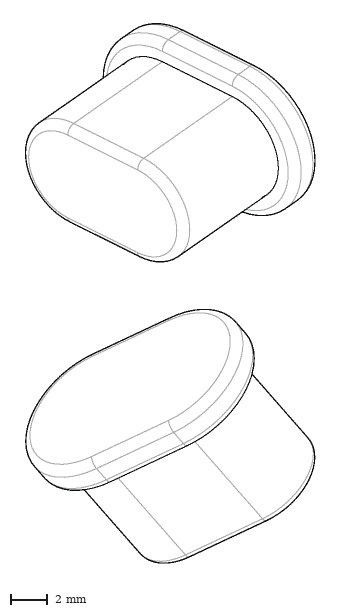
import cadquery as cq

overall_width = 14.0
overall_depth = 10.0
flange_height = 9.0
flange_thickness = 2.0
plug_height = 6.6
edge_radius = 0.5

straight_length = overall_width - flange_height
plug_width = straight_length + plug_height
plug_length = overall_depth - flange_thickness


def stadium_prism(width, height, length, front_y):
    """Stadium-section body running from front_y toward +Y."""
    return (
        cq.Workplane("XZ", origin=(0, front_y, 0))
        .slot2D(width, height)
        .extrude(-length)
    )


def make_flange():
    """Flange behind the plug, rounded on both rims."""
    flange = stadium_prism(overall_width, flange_height, flange_thickness, 0)
    return flange.faces("<Y or >Y").edges().fillet(edge_radius)


def make_plug():
    """Plug seated flat against the flange, rounded at its free end."""
    plug = stadium_prism(plug_width, plug_height, plug_length, -plug_length)
    return plug.faces("<Y").edges().fillet(edge_radius)


flange = make_flange()
plug = make_plug()

result = cq.Compound.makeCompound([flange.val(), plug.val()])